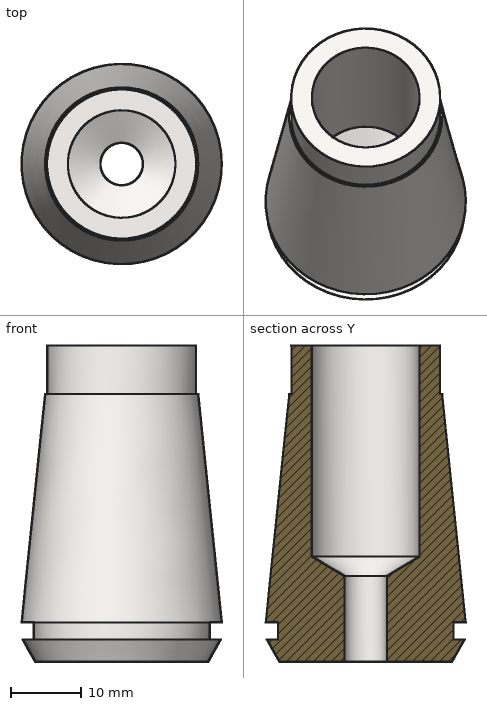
import cadquery as cq
import math

total_height = 45.0
flange_height = 3.2
groove_height = 2.4
neck_height = 6.9

bottom_diameter = 24.6
flange_diameter = 28.2
groove_diameter = 25.1
body_base_diameter = 28.5
body_top_diameter = 21.8
neck_diameter = 21.2

bore_diameter = 15.3
bore_depth = 30.0
drill_point_angle = 118.0
outlet_diameter = 6.0

body_base_height = flange_height + groove_height
body_top_height = total_height - neck_height
bore_floor_height = total_height - bore_depth
drill_point_slope = math.tan(math.radians(drill_point_angle / 2))
drill_point_depth = (bore_diameter - outlet_diameter) / 2 / drill_point_slope


def revolve_about_z(half_profile):
    """Close an XZ half profile and revolve it around the Z axis."""
    return half_profile.close().revolve(360, (0, 0, 0), (0, 1, 0))


def make_outer_body():
    """Bevelled flange, groove, tapered body and straight neck, as one solid."""
    half_profile = (
        cq.Workplane("XZ")
        .lineTo(bottom_diameter / 2, 0)
        .lineTo(flange_diameter / 2, flange_height)
        .lineTo(groove_diameter / 2, flange_height)
        .lineTo(groove_diameter / 2, body_base_height)
        .lineTo(body_base_diameter / 2, body_base_height)
        .lineTo(body_top_diameter / 2, body_top_height)
        .lineTo(neck_diameter / 2, body_top_height)
        .lineTo(neck_diameter / 2, total_height)
        .lineTo(0, total_height)
    )
    return revolve_about_z(half_profile)


def make_bore():
    """Wide bore from the top, a conical floor and the outlet through the bottom."""
    half_profile = (
        cq.Workplane("XZ")
        .lineTo(outlet_diameter / 2, 0)
        .lineTo(outlet_diameter / 2, bore_floor_height - drill_point_depth)
        .lineTo(bore_diameter / 2, bore_floor_height)
        .lineTo(bore_diameter / 2, total_height)
        .lineTo(0, total_height)
    )
    return revolve_about_z(half_profile)


result = make_outer_body().cut(make_bore())